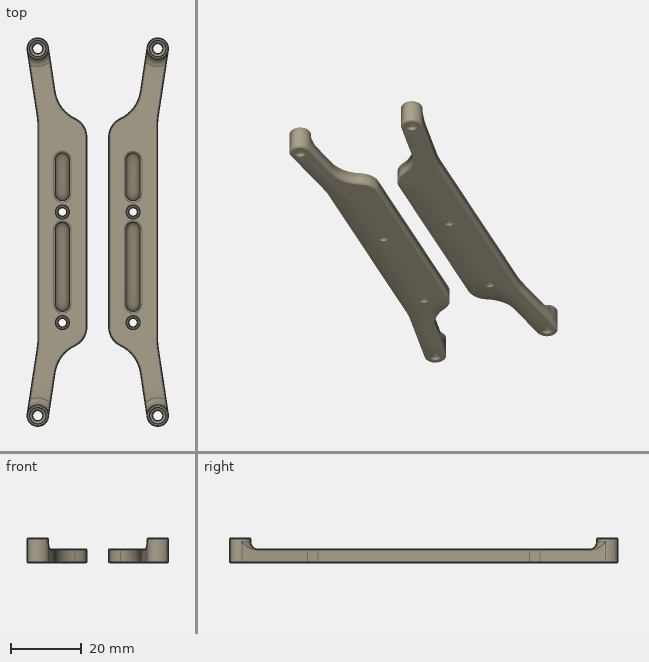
import cadquery as cq
import math

overall_length = 110.1
overall_width = 40.1
plate_thickness = 4.0
boss_height = 7.0

boss_radius = 3.03
boss_hole_diameter = 2.9
countersink_diameter = 4.6
boss_x = overall_width / 2 - boss_radius
boss_y = overall_length / 2 - boss_radius
flare_radius = 2.0

inner_x = 3.1
outer_x = 17.0
outer_bend_y = 31.5
outer_bend_radius = 19.8
shoulder_y = 26.9
shoulder_radius = 6.0
neck_radius = 10.0
edge_radius = 0.3
bottom_chamfer = 0.3

pocket_line_x = 10.0
mount_hole_diameter = 2.4
counterbore_diameter = 4.0
counterbore_depth = 2.0
mount_hole_ys = (5.7, -25.7)
pocket_width = 4.0
pocket_rim_radius = 0.5
pocket_depth = 3.0
pocket_spans = ((8.9, 22.5), (-22.5, 2.8))


def polar(center, radius, angle):
    return (center[0] + radius * math.cos(angle), center[1] + radius * math.sin(angle))


def arm_lean():
    """Angle from +Y by which the arm leans outward, its outer edge tangent to the boss."""
    dx = boss_x - outer_x
    dy = boss_y - outer_bend_y
    return math.atan2(dx, dy) + math.asin(boss_radius / math.hypot(dx, dy))


def half_outline():
    """Outline of the +X bracket above the XZ plane, closed along that plane."""
    lean = arm_lean()
    boss = (boss_x, boss_y)
    outer_normal = -lean
    inner_normal = math.pi - lean

    bend_length = outer_bend_radius * math.tan(lean / 2)
    bend_start = (outer_x, outer_bend_y - bend_length)
    bend_center = (outer_x + outer_bend_radius, bend_start[1])
    bend_mid = polar(bend_center, outer_bend_radius, math.pi - lean / 2)
    bend_end = polar(bend_center, outer_bend_radius, math.pi - lean)

    shoulder_center = (inner_x + shoulder_radius, shoulder_y)
    offset_point = polar(boss, boss_radius + neck_radius, inner_normal)
    arm_back = (-math.sin(lean), -math.cos(lean))
    gap = (offset_point[0] - shoulder_center[0], offset_point[1] - shoulder_center[1])
    along = gap[0] * arm_back[0] + gap[1] * arm_back[1]
    center_distance = shoulder_radius + neck_radius
    arm_run = -along - math.sqrt(along**2 - gap[0] ** 2 - gap[1] ** 2 + center_distance**2)
    neck_center = (
        offset_point[0] + arm_run * arm_back[0],
        offset_point[1] + arm_run * arm_back[1],
    )
    neck_start = polar(neck_center, neck_radius, outer_normal)
    joint_angle = math.atan2(
        neck_center[1] - shoulder_center[1], neck_center[0] - shoulder_center[0]
    )
    joint = polar(shoulder_center, shoulder_radius, joint_angle)
    neck_mid = polar(neck_center, neck_radius, (outer_normal + joint_angle - math.pi) / 2)
    shoulder_mid = polar(shoulder_center, shoulder_radius, (joint_angle + math.pi) / 2)

    return (
        cq.Workplane("XY")
        .moveTo(outer_x, 0)
        .lineTo(*bend_start)
        .threePointArc(bend_mid, bend_end)
        .lineTo(*polar(boss, boss_radius, outer_normal))
        .threePointArc(
            polar(boss, boss_radius, math.pi / 2 - lean), polar(boss, boss_radius, inner_normal)
        )
        .lineTo(*neck_start)
        .threePointArc(neck_mid, joint)
        .threePointArc(shoulder_mid, (inner_x, shoulder_y))
        .lineTo(inner_x, 0)
        .close()
    )


def mirrored_in_y(half):
    """A half body joined to its mirror image across the XZ plane."""
    return half.union(half.mirror("XZ")).clean()


def edge_near(body, x, y, z):
    """The edge of the body whose middle is closest to the point."""
    return body.edges(cq.selectors.NearestToPointSelector((x, y, z)))


def flare():
    """Concave blend around the +Y boss, trimmed to the sides of the arm."""
    flare_top = plate_thickness + flare_radius
    flare_outer = boss_radius + flare_radius
    arc_mid = polar((flare_outer, flare_top), flare_radius, math.radians(225))
    ring = (
        cq.Workplane("XZ")
        .lineTo(flare_outer, 0)
        .lineTo(flare_outer, plate_thickness)
        .threePointArc(arc_mid, (boss_radius, flare_top))
        .lineTo(0, flare_top)
        .close()
        .revolve(360, (0, 0), (0, 1))
        .translate((boss_x, boss_y, 0))
    )
    return ring.intersect(half_outline().extrude(boss_height))


def half_body():
    """Plate, flare and boss above the XZ plane, with rounded outer edges and no holes."""
    boss = cq.Workplane("XY").center(boss_x, boss_y).circle(boss_radius).extrude(boss_height)
    body = half_outline().extrude(plate_thickness).union(flare()).union(boss).clean()
    for side_x in (inner_x, outer_x):
        body = edge_near(body, side_x, shoulder_y / 2, plate_thickness).fillet(edge_radius)
    body = body.faces(">Z").edges().fillet(edge_radius)
    return edge_near(body, outer_x, shoulder_y / 2, 0).chamfer(bottom_chamfer)


def boss_hole():
    """Countersunk through hole in the +Y boss."""
    return (
        cq.Workplane("XY", origin=(boss_x, boss_y, boss_height))
        .circle(countersink_diameter / 2)
        .workplane(offset=-(countersink_diameter - boss_hole_diameter) / 2)
        .circle(boss_hole_diameter / 2)
        .loft()
        .union(
            cq.Workplane("XY")
            .center(boss_x, boss_y)
            .circle(boss_hole_diameter / 2)
            .extrude(boss_height)
        )
    )


def pocket(low_y, high_y):
    """Blind round-ended pocket."""
    floor_z = plate_thickness - pocket_depth
    center = (pocket_line_x, (low_y + high_y) / 2)
    length = high_y - low_y
    return (
        cq.Workplane("XY", origin=(*center, floor_z))
        .slot2D(length, pocket_width, 90)
        .extrude(pocket_depth)
    )


def bracket():
    """The +X bracket."""
    body = mirrored_in_y(half_body())
    for end in (boss_hole(), boss_hole().mirror("XZ")):
        body = body.cut(end)
    for low_y, high_y in pocket_spans:
        body = body.cut(pocket(low_y, high_y))
        rim = edge_near(body, pocket_line_x - pocket_width / 2, (low_y + high_y) / 2, plate_thickness)
        body = rim.fillet(pocket_rim_radius)
    return (
        body.faces(cq.selectors.NearestToPointSelector((pocket_line_x, 0, plate_thickness)))
        .workplane(origin=(0, 0, plate_thickness))
        .pushPoints([(pocket_line_x, y) for y in mount_hole_ys])
        .cboreHole(mount_hole_diameter, counterbore_diameter, counterbore_depth)
    )


right_bracket = bracket()
left_bracket = right_bracket.mirror("YZ")

result = cq.Compound.makeCompound([right_bracket.val(), left_bracket.val()])